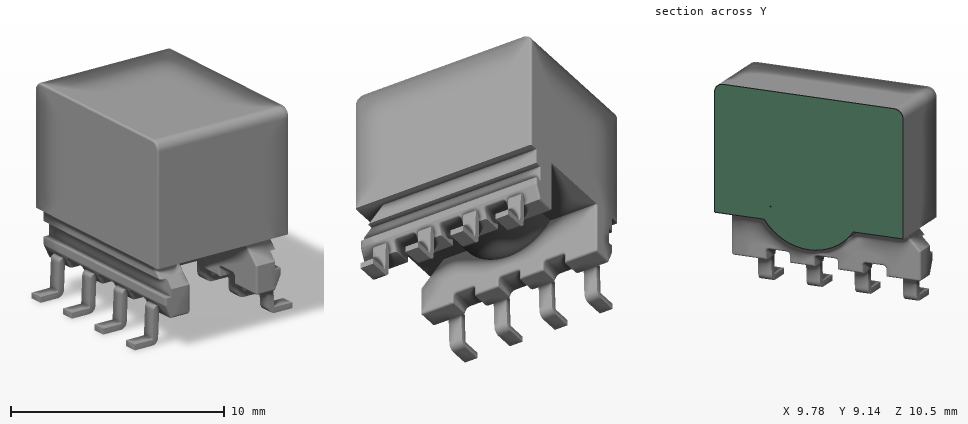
import cadquery as cq
LENGTH = 9.78
CORE_DEPTH = 7.61
HEIGHT = 10.54
CORE_BOTTOM = 4.16
CORE_CORNER_RADIUS = 0.47
EDGE_RADIUS = 0.11

COIL_DIAMETER = 5.7
COIL_BOTTOM = 2.97

RAIL_INNER = 1.93
RAIL_OUTER = 3.35
RAIL_BOTTOM = 1.5
BEVEL_WIDTH = 0.33
BEVEL_HEIGHT = 0.7
GROOVE_DEPTH = 0.35
GROOVE_BOTTOM = 2.57
GROOVE_TOP = 3.38
END_CUT = 1.19
NOTCH_WIDTH = 1.19
NOTCH_TOP = 2.02
NOTCH_CORNER_RADIUS = 0.16

PIN_COUNT = 4
PIN_PITCH = 2.5
PIN_WIDTH = 0.71
PIN_THICKNESS = 0.3
PIN_TOP = 1.97
PIN_SHOULDER = 3.45
PIN_SPAN = 9.14
PIN_LEAN = 0.07
PIN_INNER_BEND = 0.05
PIN_TOP_BEND = 0.23


def row_positions(count):
    """X places of a centred row with the pin pitch."""
    return [(index - (count - 1) / 2) * PIN_PITCH for index in range(count)]


def make_core():
    """Block with rounded top ends and softened front and back outlines."""
    height = HEIGHT - CORE_BOTTOM
    core = cq.Workplane("XY").box(LENGTH, CORE_DEPTH, height, centered=(True, True, False))
    core = core.edges(">Z and |Y").fillet(CORE_CORNER_RADIUS)
    core = core.faces("<Y or >Y").edges("not(<Z)").fillet(EDGE_RADIUS)
    return core.translate((0, 0, CORE_BOTTOM))


def make_coil():
    """Cylinder along Y that hangs out below the core."""
    centre_height = COIL_BOTTOM + COIL_DIAMETER / 2
    return (
        cq.Workplane("XZ", origin=(0, 0, centre_height))
        .circle(COIL_DIAMETER / 2)
        .extrude(RAIL_INNER + EDGE_RADIUS, both=True)
    )


def make_rail_blank():
    """Plain rail on the -Y side: slanted +X end, bevelled lower edge and bottom notches."""
    outline = (
        cq.Workplane("XZ", origin=(0, -RAIL_INNER, 0))
        .moveTo(-LENGTH / 2, RAIL_BOTTOM)
        .lineTo(LENGTH / 2, RAIL_BOTTOM)
        .lineTo(LENGTH / 2, CORE_BOTTOM - END_CUT)
        .lineTo(LENGTH / 2 - END_CUT, CORE_BOTTOM)
        .lineTo(-LENGTH / 2, CORE_BOTTOM)
        .close()
    )
    rail = outline.extrude(RAIL_OUTER - RAIL_INNER)
    bevel = (
        cq.Workplane("YZ", origin=(-LENGTH / 2, 0, 0))
        .moveTo(-RAIL_OUTER, RAIL_BOTTOM)
        .lineTo(-RAIL_OUTER, RAIL_BOTTOM + BEVEL_HEIGHT)
        .lineTo(-RAIL_OUTER + BEVEL_WIDTH, RAIL_BOTTOM)
        .close()
        .extrude(LENGTH)
    )
    rail = rail.cut(bevel)
    notch = (
        cq.Workplane("XY", origin=(0, -RAIL_OUTER, RAIL_BOTTOM))
        .box(NOTCH_WIDTH, 2 * RAIL_OUTER, 2 * (NOTCH_TOP - RAIL_BOTTOM))
        .edges("|Y")
        .fillet(NOTCH_CORNER_RADIUS)
    )
    for x in row_positions(PIN_COUNT - 1):
        rail = rail.cut(notch.translate((x, 0, 0)))
    return rail


def round_rail_edges(rail):
    """Round the inner outline, both ends, the slanted cut and the notch mouths in the bevel."""
    bevel_face = cq.selectors.ParallelDirSelector(cq.Vector(0, BEVEL_HEIGHT, BEVEL_WIDTH))
    inner_outline = rail.faces(">Y").edges("not >Z")
    left_end = rail.faces("<X").edges("not >Z")
    right_end = rail.faces(">X").edges("not >Z")
    slanted_cut = rail.faces("<Y").edges("not |X")
    notch_mouths = rail.faces(bevel_face).edges("not (<Z or >Z)")
    edges = inner_outline.add(left_end).add(right_end).add(slanted_cut).add(notch_mouths)
    return edges.fillet(EDGE_RADIUS)


def make_rail(square_upper_corner):
    """Finished -Y rail; its upper outer corner at the -X end is either square or rounded."""
    blank = make_rail_blank()
    rail = round_rail_edges(blank)
    if square_upper_corner:
        corner_box = cq.Workplane("XY").box(2 * EDGE_RADIUS, 2 * EDGE_RADIUS, CORE_BOTTOM - GROOVE_BOTTOM)
        corner_height = (CORE_BOTTOM + GROOVE_BOTTOM) / 2
        corner = blank.intersect(corner_box.translate((-LENGTH / 2, -RAIL_OUTER, corner_height)))
        rail = rail.union(corner)
    groove = cq.Workplane("XY").box(LENGTH, 2 * GROOVE_DEPTH, GROOVE_TOP - GROOVE_BOTTOM)
    return rail.cut(groove.translate((0, -RAIL_OUTER, (GROOVE_TOP + GROOVE_BOTTOM) / 2)))


def bend(pin, y, z, radius):
    """Round the pin edge along X nearest to the given corner."""
    corner = cq.selectors.NearestToPointSelector((0, y, z))
    return pin.edges("|X").edges(corner).fillet(radius)


def make_pin():
    """Pin on the -Y side: out of the rail, down with a slight lean, then out as a foot."""
    root = -(RAIL_OUTER - BEVEL_WIDTH)
    upper_outer = -PIN_SHOULDER
    upper_inner = upper_outer + PIN_THICKNESS
    lower_outer = upper_outer - PIN_LEAN
    lower_inner = lower_outer + PIN_THICKNESS
    foot_end = -PIN_SPAN / 2
    pin = (
        cq.Workplane("YZ", origin=(-PIN_WIDTH / 2, 0, 0))
        .moveTo(root, PIN_TOP)
        .lineTo(upper_outer, PIN_TOP)
        .lineTo(lower_outer, PIN_THICKNESS)
        .lineTo(foot_end, PIN_THICKNESS)
        .lineTo(foot_end, 0)
        .lineTo(lower_inner, 0)
        .lineTo(upper_inner, PIN_TOP - PIN_THICKNESS)
        .lineTo(root, PIN_TOP - PIN_THICKNESS)
        .close()
        .extrude(PIN_WIDTH)
    )
    pin = bend(pin, upper_outer, PIN_TOP, PIN_TOP_BEND)
    pin = bend(pin, lower_outer, PIN_THICKNESS, PIN_INNER_BEND)
    return bend(pin, lower_inner, 0, PIN_INNER_BEND + PIN_THICKNESS)


def make_side(square_upper_corner):
    """The -Y rail together with its row of pins."""
    side = make_rail(square_upper_corner)
    pin = make_pin()
    for x in row_positions(PIN_COUNT):
        side = side.union(pin.translate((x, 0, 0)))
    return side


front_side = make_side(square_upper_corner=False)
back_side = make_side(square_upper_corner=True).mirror("XZ")
result = make_core().union(make_coil()).union(front_side).union(back_side)